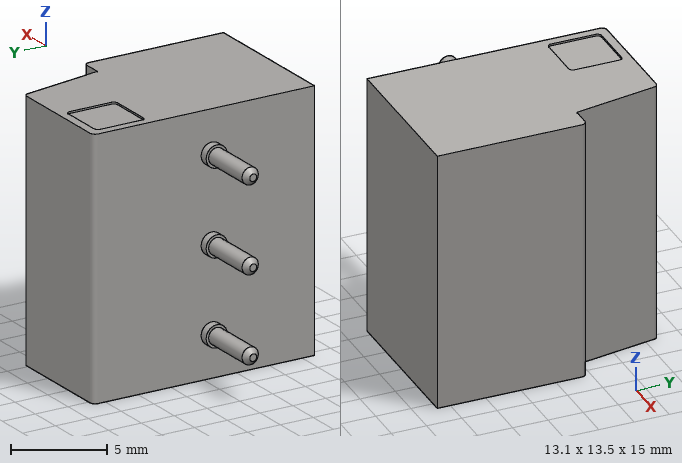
import cadquery as cq

housing_width = 9.0
housing_depth = 13.5
housing_height = 15.0
step_depth = 8.5
slope_foot_x = 7.68
slope_top_x = 6.81
corner_radius = 0.3

pole_count = 3
pole_pitch = housing_height / pole_count
pin_y = 6.27
pin_length = 4.1
pin_radius = 0.5
collar_radius = 0.65
collar_length = 0.5
tip_radius = 0.21
tip_length = 0.3

recess_size = 3.0
recess_margin = 0.51
recess_radius = 0.24
recess_depth = 0.1


def make_housing():
    """Stepped block with three vertical edges rounded."""
    block = (
        cq.Workplane("XY")
        .polyline([
            (0, 0),
            (housing_width, 0),
            (housing_width, step_depth),
            (slope_foot_x, step_depth),
            (slope_top_x, housing_depth),
            (0, housing_depth),
        ])
        .close()
        .extrude(housing_height)
    )
    mid_height = housing_height / 2
    rounded_corners = [
        (housing_width, step_depth),
        (slope_top_x, housing_depth),
        (0, housing_depth),
    ]
    for x, y in rounded_corners:
        edge = cq.selectors.NearestToPointSelector((x, y, mid_height))
        block = block.edges("|Z").edges(edge).fillet(corner_radius)
    return block


def make_recess():
    """Rounded square to be cut from the top face."""
    center_x = recess_margin + recess_size / 2
    center_y = housing_depth - recess_margin - recess_size / 2
    return (
        cq.Workplane("XY", origin=(center_x, center_y, housing_height - recess_depth))
        .rect(recess_size, recess_size)
        .extrude(recess_depth)
        .edges("|Z")
        .fillet(recess_radius)
    )


def make_pin(z):
    """Round pin with a collar at the housing and a blunt conical tip."""
    return (
        cq.Workplane("XY", origin=(0, pin_y, z))
        .polyline([
            (0, 0),
            (0, collar_radius),
            (-collar_length, collar_radius),
            (-collar_length, pin_radius),
            (tip_length - pin_length, pin_radius),
            (-pin_length, tip_radius),
            (-pin_length, 0),
        ])
        .close()
        .revolve(360, (0, 0, 0), (1, 0, 0))
    )


result = make_housing().cut(make_recess())
for pole in range(pole_count):
    result = result.union(make_pin((pole + 0.5) * pole_pitch))